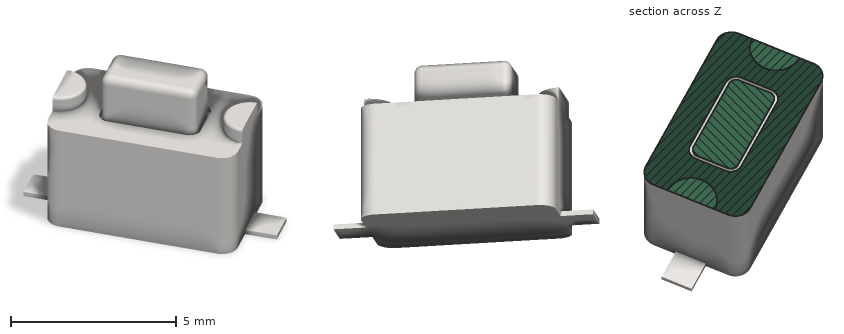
import cadquery as cq

CASE_LENGTH = 6.0
CASE_WIDTH = 3.5
CASE_HEIGHT = 3.5
CASE_CORNER_RADIUS = 0.5
PLATE_THICKNESS = 0.2
COVER_BOTTOM = CASE_HEIGHT - PLATE_THICKNESS

POST_RADIUS = 0.8
POST_HEIGHT = 4.0
POST_FILLET = 0.1
POST_POSITIONS = [(-CASE_LENGTH / 2, 0), (CASE_LENGTH / 2, 0)]

BUTTON_LENGTH = 3.0
BUTTON_WIDTH = 1.5
BUTTON_TOP = 5.0
BUTTON_FILLET = 0.25
BUTTON_CLEARANCE = 0.1

OVERALL_LENGTH = 8.0
LEAD_LENGTH = (OVERALL_LENGTH - CASE_LENGTH) / 2
LEAD_WIDTH = 1.0
LEAD_THICKNESS = 0.15


def rounded_block(length, width, radius, bottom, top):
    """Upright block centred on the Z axis, with rounded vertical edges."""
    block = cq.Workplane("XY").workplane(offset=bottom).rect(length, width).extrude(top - bottom)
    return block.edges("|Z").fillet(radius)


def case_slab(bottom, top):
    """Slice of the case outline between two heights."""
    return rounded_block(CASE_LENGTH, CASE_WIDTH, CASE_CORNER_RADIUS, bottom, top)


def make_posts():
    """Round posts over the full height, trimmed flush with the case ends to half circles."""
    posts = cq.Workplane("XY").pushPoints(POST_POSITIONS).circle(POST_RADIUS).extrude(POST_HEIGHT)
    posts = posts.faces(">Z").edges().fillet(POST_FILLET)
    trim = cq.Workplane("XY").rect(CASE_LENGTH, CASE_WIDTH).extrude(POST_HEIGHT)
    return posts.intersect(trim)


def make_housing(posts):
    """Block between the plates, with the posts passing through both plates."""
    return case_slab(PLATE_THICKNESS, COVER_BOTTOM).union(posts)


def make_base(posts):
    """Bottom plate, notched around the posts."""
    return case_slab(0, PLATE_THICKNESS).cut(posts)


def make_cover(posts):
    """Top plate, notched around the posts and open around the button."""
    opening = rounded_block(
        BUTTON_LENGTH + 2 * BUTTON_CLEARANCE,
        BUTTON_WIDTH + 2 * BUTTON_CLEARANCE,
        BUTTON_FILLET + BUTTON_CLEARANCE,
        COVER_BOTTOM,
        CASE_HEIGHT,
    )
    return case_slab(COVER_BOTTOM, CASE_HEIGHT).cut(posts).cut(opening)


def make_button():
    """Push button standing on the housing block, with a rounded top."""
    button = rounded_block(BUTTON_LENGTH, BUTTON_WIDTH, BUTTON_FILLET, COVER_BOTTOM, BUTTON_TOP)
    return button.faces(">Z").edges().fillet(BUTTON_FILLET)


def make_lead(side):
    """Flat lead reaching out from one end face; side is -1 or 1 along X."""
    centre_x = side * (CASE_LENGTH + LEAD_LENGTH) / 2
    return cq.Workplane("XY").center(centre_x, 0).rect(LEAD_LENGTH, LEAD_WIDTH).extrude(LEAD_THICKNESS)


posts = make_posts()
housing = make_housing(posts)
base = make_base(posts)
cover = make_cover(posts)
button = make_button()
leads = [make_lead(side) for side in (-1, 1)]

result = cq.Compound.makeCompound([
    housing.val(),
    base.val(),
    cover.val(),
    button.val(),
    *[lead.val() for lead in leads],
])